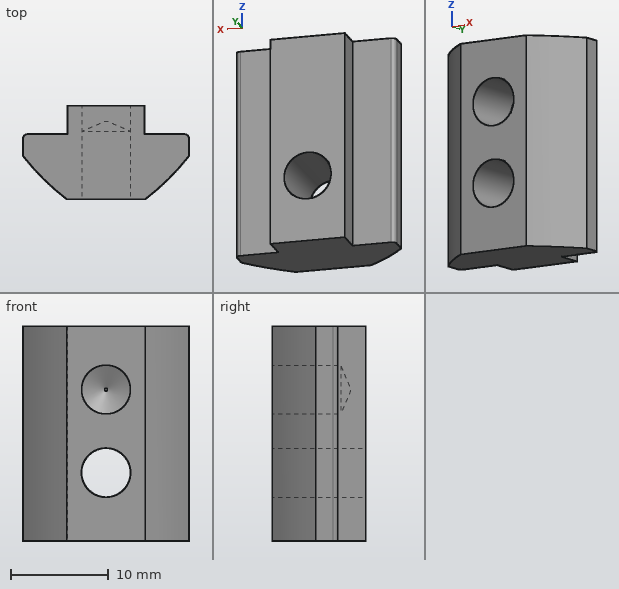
import cadquery as cq
import math

length = 22.0
width = 17.0
depth = 9.6

neck_width = 7.9
neck_height = 2.9
base_width = 8.0
side_height = 2.25
shoulder_radius = 0.5
flank_bulge = 0.2

hole_diameter = 5.0
through_hole_z = 7.0
blind_hole_z = 15.5
blind_hole_depth = 7.0
tip_length = 1.0
tip_flat_diameter = 0.3

shoulder_y = depth - neck_height
flank_top_y = shoulder_y - side_height


def flank_midpoint(side):
    """Middle of the convex flank arc; side is +1 for +X and -1 for -X."""
    run = (width - base_width) / 2
    chord = math.hypot(run, flank_top_y)
    x = (width + base_width) / 4 + flank_bulge * flank_top_y / chord
    y = flank_top_y / 2 - flank_bulge * run / chord
    return (side * x, y)


def make_body():
    """T-shaped section extruded along Z, with rounded shoulder corners."""
    body = (
        cq.Workplane("XY")
        .moveTo(-base_width / 2, 0)
        .lineTo(base_width / 2, 0)
        .threePointArc(flank_midpoint(1), (width / 2, flank_top_y))
        .lineTo(width / 2, shoulder_y)
        .lineTo(neck_width / 2, shoulder_y)
        .lineTo(neck_width / 2, depth)
        .lineTo(-neck_width / 2, depth)
        .lineTo(-neck_width / 2, shoulder_y)
        .lineTo(-width / 2, shoulder_y)
        .lineTo(-width / 2, flank_top_y)
        .threePointArc(flank_midpoint(-1), (-base_width / 2, 0))
        .close()
        .extrude(length)
    )
    shoulder_corners = cq.selectors.BoxSelector(
        (-width, shoulder_y - shoulder_radius, -length),
        (width, shoulder_y + shoulder_radius, 2 * length),
    )
    outer_edges = body.faces("<X or >X").edges("|Z").edges(shoulder_corners)
    return outer_edges.fillet(shoulder_radius)


def make_through_hole():
    """Cylinder along Y that spans the whole depth of the body."""
    return (
        cq.Workplane("XZ", origin=(0, depth, through_hole_z))
        .circle(hole_diameter / 2)
        .extrude(depth)
    )


def make_blind_hole():
    """Drilled pocket with a conical end that stops at a tiny flat."""
    hole_radius = hole_diameter / 2
    tip_radius = tip_flat_diameter / 2
    return (
        cq.Workplane("YZ", origin=(0, 0, blind_hole_z))
        .lineTo(0, hole_radius)
        .lineTo(blind_hole_depth, hole_radius)
        .lineTo(blind_hole_depth + tip_length, tip_radius)
        .lineTo(blind_hole_depth + tip_length, 0)
        .close()
        .revolve(360, (0, 0, 0), (1, 0, 0))
    )


result = make_body().cut(make_through_hole()).cut(make_blind_hole())